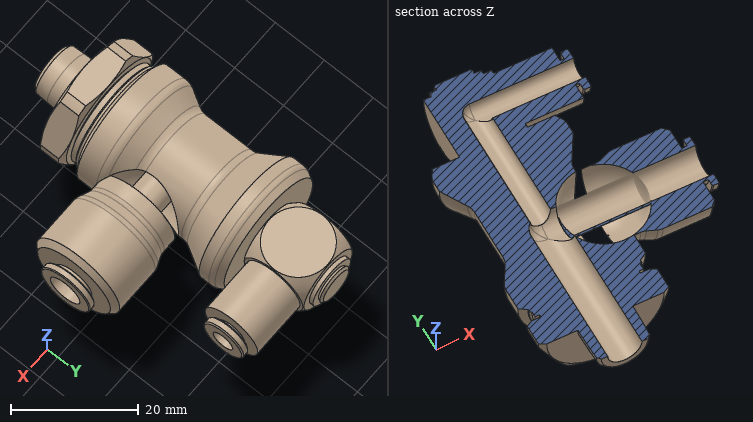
import cadquery as cq
import math


OVERALL_LENGTH = 58.05
OVERALL_WIDTH = 39.75

STUB_BEND = 3.1
HEX_START = 6.55
HEX_END = 11.6
COLLAR_START = 11.95
COLLAR_END = 12.95
STEP_START = 13.25
STEP_END = 13.7
BARREL_START = 14.5
WAIST_START = 23.5
WAIST_END = 34.65
FLANGE_END = 44.25
PORT_Y = 25.8

BARREL_RADIUS = 11.4
FLANGE_DIAMETER = 23.85
WAIST_RADIUS = 8.9
NECK_RADIUS = 8.9
COLLAR_RADIUS = 9.7
STEP_RADIUS = 10.05
FLARE_ANGLE = math.radians(30)
FLARE_ROUNDING = 2.9
FLANGE_ROUNDING = 2.1
FLANGE_BEVEL = 1.75

HEX_ACROSS_FLATS = 21.0
HEX_CORNER_RADIUS = 11.6
HEX_FACE_RADIUS = 10.45
HEX_BEVEL = 0.65
STUB_ROOT_RADIUS = 4.95
STUB_BEND_RADIUS = 4.9
STUB_END_RADIUS = 4.75
STUB_TIP_RADIUS = 4.2
STUB_BEVEL = 0.65

CUBE_SIZE = 12.2
CUBE_FACE_RADIUS = 6.0
CAP_RADIUS = 4.65
CAP_THICKNESS = 0.75
KNOB_ROOT_RADIUS = 3.3
KNOB_RADIUS = 3.55
KNOB_TOP_RADIUS = 3.15
KNOB_BEVEL = 0.4

ARM_ROOT_RADIUS = 7.5
ARM_DOME_X = 9.8
ARM_TAPER_START = 12.95
ARM_TAPER_END = 15.45
ARM_DIAMETER = 17.0
ARM_ROUNDING = 2.3
ARM_END = 25.65
ARM_BEVEL = 1.05
ARM_RING_START = 26.5
ARM_RING_NECK_RADIUS = 3.65
ARM_RING_RADIUS = 5.0
ARM_RING_BEVEL = 0.2

ELBOW_ARM_RADIUS = 5.4
ELBOW_ARM_END = 16.5
ELBOW_RING_START = 17.1
ELBOW_RING_END = 18.6
ELBOW_RING_NECK_RADIUS = 2.65
ELBOW_RING_RADIUS = 4.05
ELBOW_RING_BEVEL = 0.25

PORT_BORE_RADIUS = 3.0
ELBOW_BORE_RADIUS = 2.0

FLANGE_RADIUS = FLANGE_DIAMETER / 2
ARM_RADIUS = ARM_DIAMETER / 2
ARM_RING_END = OVERALL_WIDTH - FLANGE_RADIUS
CUBE_END = FLANGE_END + CUBE_SIZE
CUBE_Y = FLANGE_END + CUBE_SIZE / 2
CAP_END = CUBE_END + CAP_THICKNESS


def turned(corners):
    """Solid turned about the Y axis.

    Each corner is (position along the axis, radius) with an optional rounding radius
    that replaces the corner by a tangent arc.
    """
    outline = cq.Workplane("XY").moveTo(0, corners[0][0])
    for index, corner in enumerate(corners):
        here = cq.Vector(corner[1], corner[0])
        if len(corner) == 2:
            outline = outline.lineTo(here.x, here.y)
            continue
        before = corners[index - 1]
        after = corners[index + 1]
        to_before = (cq.Vector(before[1], before[0]) - here).normalized()
        to_after = (cq.Vector(after[1], after[0]) - here).normalized()
        half_angle = to_before.getAngle(to_after) / 2
        rounding = corner[2]
        tangent_length = rounding / math.tan(half_angle)
        apex_distance = rounding / math.sin(half_angle) - rounding
        start = here + to_before * tangent_length
        middle = here + (to_before + to_after).normalized() * apex_distance
        end = here + to_after * tangent_length
        outline = outline.lineTo(start.x, start.y).threePointArc((middle.x, middle.y), (end.x, end.y))
    return outline.lineTo(0, corners[-1][0]).close().revolve(360, (0, 0), (0, 1))


def aim_along_x(shape, y):
    """Turn a shape built along +Y so that it points along +X at the given Y."""
    return shape.rotate((0, 0, 0), (0, 0, 1), -90).translate((0, y, 0))


def cylinder_y(radius, start, end):
    """Plain cylinder on the Y axis."""
    return turned([(start, radius), (end, radius)])


def make_body():
    """Spool shaped barrel from the hexagon to the flange under the elbow."""
    flare_slope = math.tan(FLARE_ANGLE)
    barrel_end = WAIST_START - (BARREL_RADIUS - WAIST_RADIUS) / flare_slope
    flange_start = WAIST_END + (FLANGE_RADIUS - WAIST_RADIUS) / flare_slope
    return turned([
        (HEX_START, NECK_RADIUS),
        (COLLAR_START, NECK_RADIUS),
        (COLLAR_START, COLLAR_RADIUS),
        (COLLAR_END, COLLAR_RADIUS),
        (STEP_START, STEP_RADIUS),
        (STEP_END, STEP_RADIUS),
        (BARREL_START, BARREL_RADIUS),
        (barrel_end, BARREL_RADIUS, FLARE_ROUNDING),
        (WAIST_START, WAIST_RADIUS, FLARE_ROUNDING),
        (WAIST_END, WAIST_RADIUS, FLARE_ROUNDING),
        (flange_start, FLANGE_RADIUS),
        (FLANGE_END - FLANGE_BEVEL, FLANGE_RADIUS, FLANGE_ROUNDING),
        (FLANGE_END, FLANGE_RADIUS - FLANGE_BEVEL * flare_slope),
    ])


def make_hexagon():
    """Hexagon with corners on the X axis, cut back to a bevelled disc."""
    corner_diameter = HEX_ACROSS_FLATS / math.cos(math.radians(30))
    prism = (
        cq.Workplane("XZ", origin=(0, HEX_END, 0))
        .polygon(6, corner_diameter)
        .extrude(HEX_END - HEX_START)
    )
    disc = turned([
        (HEX_START, HEX_FACE_RADIUS),
        (HEX_START + HEX_BEVEL, HEX_CORNER_RADIUS),
        (HEX_END - HEX_BEVEL, HEX_CORNER_RADIUS),
        (HEX_END, HEX_FACE_RADIUS),
    ])
    return prism.intersect(disc)


def make_stub():
    """Stub of the male thread, tapering a little more steeply towards its bevelled tip."""
    return turned([
        (0, STUB_TIP_RADIUS),
        (STUB_BEVEL, STUB_END_RADIUS),
        (STUB_BEND, STUB_BEND_RADIUS),
        (HEX_START, STUB_ROOT_RADIUS),
    ])


def make_elbow_cube():
    """Cube whose corners are rounded off by a sphere about its centre."""
    sphere_radius = math.hypot(CUBE_SIZE / 2, CUBE_FACE_RADIUS)
    cube = cq.Workplane("XY").box(CUBE_SIZE, CUBE_SIZE, CUBE_SIZE)
    return cube.intersect(cq.Workplane("XY").sphere(sphere_radius)).translate((0, CUBE_Y, 0))


def make_cap():
    """Stepped cap and knob on the far end of the elbow."""
    return turned([
        (CUBE_Y, CAP_RADIUS),
        (CAP_END, CAP_RADIUS),
        (CAP_END, KNOB_ROOT_RADIUS),
        (OVERALL_LENGTH - KNOB_BEVEL, KNOB_RADIUS),
        (OVERALL_LENGTH, KNOB_TOP_RADIUS),
    ])


def make_release_ring(root, start, end, neck_radius, radius, bevel):
    """Narrow neck carrying the bevelled release ring of a push-in arm."""
    return turned([
        (root, neck_radius),
        (start, neck_radius),
        (start, radius - bevel),
        (start + bevel, radius),
        (end - bevel, radius),
        (end, radius - bevel),
    ])


def make_lower_arm():
    """Large push-in arm that grows out of the waist from a domed root."""
    dome = cq.Workplane("XY").sphere(ARM_ROOT_RADIUS).translate((0, ARM_DOME_X, 0))
    sleeve = turned([
        (ARM_DOME_X, ARM_ROOT_RADIUS),
        (ARM_TAPER_START, ARM_ROOT_RADIUS, ARM_ROUNDING),
        (ARM_TAPER_END, ARM_RADIUS, ARM_ROUNDING),
        (ARM_END - ARM_BEVEL, ARM_RADIUS),
        (ARM_END, ARM_RADIUS - ARM_BEVEL),
    ])
    ring = make_release_ring(
        ARM_DOME_X, ARM_RING_START, ARM_RING_END, ARM_RING_NECK_RADIUS, ARM_RING_RADIUS, ARM_RING_BEVEL
    )
    return aim_along_x(dome.union(sleeve).union(ring), PORT_Y)


def make_upper_arm():
    """Small push-in arm on the elbow cube."""
    sleeve = cylinder_y(ELBOW_ARM_RADIUS, 0, ELBOW_ARM_END)
    ring = make_release_ring(
        0, ELBOW_RING_START, ELBOW_RING_END,
        ELBOW_RING_NECK_RADIUS, ELBOW_RING_RADIUS, ELBOW_RING_BEVEL,
    )
    return aim_along_x(sleeve.union(ring), CUBE_Y)


def make_mitred_bore(radius, length):
    """Bore along -Y from a ball end at the origin, kept on one side of a 45 degree plane."""
    ball_side = radius * math.sqrt(0.5)
    bore = (
        cq.Workplane("XY")
        .moveTo(0, -length)
        .lineTo(radius, -length)
        .lineTo(radius, 0)
        .threePointArc((ball_side, ball_side), (0, radius))
        .close()
        .revolve(360, (0, 0), (0, 1))
    )
    reach = 2 * length
    kept_side = (
        cq.Workplane("XY")
        .polyline([(-reach, reach), (reach, -reach), (-reach, -reach)])
        .close()
        .extrude(radius * 2, both=True)
    )
    return bore.intersect(kept_side)


def make_passage(radius, start_y, turn_y, arm_end):
    """Elbow passage: in along the body axis, out along +X, meeting on the mitre plane."""
    inlet = make_mitred_bore(radius, turn_y - start_y)
    outlet = make_mitred_bore(radius, arm_end).rotate((0, 0, 0), (1, -1, 0), 180)
    return inlet.union(outlet).translate((0, turn_y, 0))


fitting = (
    make_body()
    .union(make_hexagon())
    .union(make_stub())
    .union(make_elbow_cube())
    .union(make_cap())
    .union(make_lower_arm())
    .union(make_upper_arm())
)
port_passage = make_passage(PORT_BORE_RADIUS, 0, PORT_Y, ARM_RING_END)
elbow_passage = make_passage(ELBOW_BORE_RADIUS, PORT_Y, CUBE_Y, ELBOW_RING_END)
result = fitting.cut(port_passage).cut(elbow_passage)